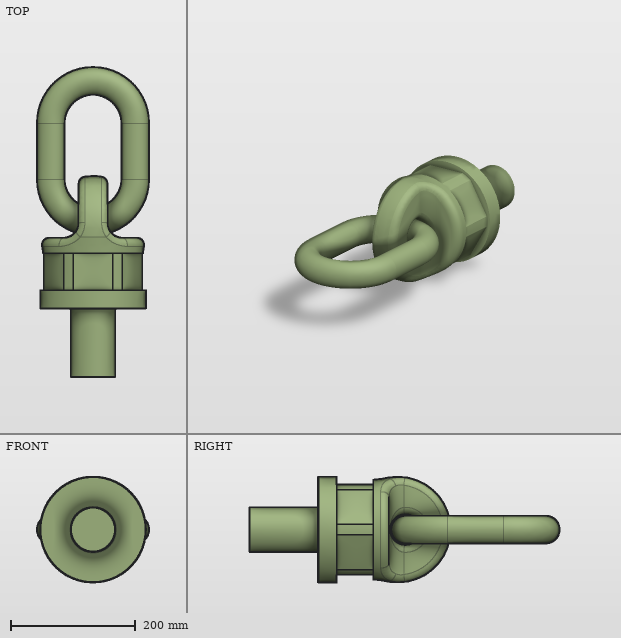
import cadquery as cq
import math


OVERALL_LENGTH = 497.5
SHANK_LENGTH = 110.0
SHANK_DIAMETER = 72.0
SHANK_END_CHAMFER = 1.0
SHANK_ROOT_RADIUS = 1.0
FLANGE_DIAMETER = 170.0
FLANGE_THICKNESS = 30.0
FLANGE_CHAMFER = 1.0
HEX_HEIGHT = 58.5
HEX_ACROSS_FLATS = 145.5
HEX_CORNER_DIAMETER = 159.0
HEX_TOP_Y = FLANGE_THICKNESS + HEX_HEIGHT

LINK_WIDTH = 180.0
LINK_BAR_DIAMETER = 45.0
LINK_STRAIGHT = 90.0
LINK_BAR_RADIUS = LINK_BAR_DIAMETER / 2
LINK_BEND_RADIUS = LINK_WIDTH / 2 - LINK_BAR_RADIUS
LINK_TOP_Y = OVERALL_LENGTH - SHANK_LENGTH
LINK_UPPER_BEND_Y = LINK_TOP_Y - LINK_WIDTH / 2
LINK_LOWER_BEND_Y = LINK_UPPER_BEND_Y - LINK_STRAIGHT

DOME_RADIUS = FLANGE_DIAMETER / 2
DOME_TOP_Y = 213.0
DOME_CENTRE_Y = DOME_TOP_Y - DOME_RADIUS
HEAD_BASE_RADIUS = 80.0
PLATE_TOP_Y = 114.0
EYE_THICKNESS = 47.0
EYE_ROOT_RADIUS = EYE_THICKNESS / 2
EYE_HOLE_DIAMETER = 49.0
EYE_HOLE_RADIUS = EYE_HOLE_DIAMETER / 2
EYE_HOLE_Y = 140.5
HEAD_EDGE_RADIUS = 12.0
EYE_MOUTH_DIAMETER = 72.0
EYE_RIM_RADIUS = (EYE_MOUTH_DIAMETER - EYE_HOLE_DIAMETER) / 2

TOLERANCE = 0.05


def bar_below(y):
    """Workplane at height y on which a positive extrusion runs towards -Y."""
    return cq.Workplane("XZ", origin=(0, y, 0))


def make_stud():
    shank = bar_below(0).circle(SHANK_DIAMETER / 2).extrude(SHANK_LENGTH)
    shank = shank.faces("<Y").chamfer(SHANK_END_CHAMFER)

    flange = bar_below(FLANGE_THICKNESS).circle(FLANGE_DIAMETER / 2).extrude(FLANGE_THICKNESS)
    flange = flange.faces("<Y").chamfer(FLANGE_CHAMFER)

    turned = flange.union(shank)
    root_box = cq.selectors.BoxSelector(
        (-SHANK_DIAMETER, -TOLERANCE, -SHANK_DIAMETER),
        (SHANK_DIAMETER, TOLERANCE, SHANK_DIAMETER),
    )
    shank_root = cq.selectors.RadiusNthSelector(0)
    turned = turned.edges(root_box).edges(shank_root).fillet(SHANK_ROOT_RADIUS)

    hex_across_corners = HEX_ACROSS_FLATS / math.cos(math.pi / 6)
    corner_cylinder = bar_below(HEX_TOP_Y).circle(HEX_CORNER_DIAMETER / 2).extrude(HEX_HEIGHT)
    hexagon = bar_below(HEX_TOP_Y).polygon(6, hex_across_corners).extrude(HEX_HEIGHT)
    return turned.union(hexagon.intersect(corner_cylinder))


def make_link():
    top_of_bend = (0, LINK_UPPER_BEND_Y + LINK_BEND_RADIUS)
    bottom_of_bend = (0, LINK_LOWER_BEND_Y - LINK_BEND_RADIUS)
    centreline = (
        cq.Workplane("XY")
        .moveTo(LINK_BEND_RADIUS, LINK_LOWER_BEND_Y)
        .lineTo(LINK_BEND_RADIUS, LINK_UPPER_BEND_Y)
        .threePointArc(top_of_bend, (-LINK_BEND_RADIUS, LINK_UPPER_BEND_Y))
        .lineTo(-LINK_BEND_RADIUS, LINK_LOWER_BEND_Y)
        .threePointArc(bottom_of_bend, (LINK_BEND_RADIUS, LINK_LOWER_BEND_Y))
        .close()
    )
    section = cq.Workplane("XZ", origin=(LINK_BEND_RADIUS, LINK_LOWER_BEND_Y, 0)).circle(LINK_BAR_RADIUS)
    return section.sweep(centreline)


def make_dome():
    """Ball-topped blank whose tapered side runs from the base edge tangent to the ball."""
    centre_height = DOME_CENTRE_Y - HEX_TOP_Y
    centre_to_base_edge = math.hypot(HEAD_BASE_RADIUS, centre_height)
    taper = math.atan2(centre_height, HEAD_BASE_RADIUS) - math.acos(DOME_RADIUS / centre_to_base_edge)

    def on_dome(angle):
        return (DOME_RADIUS * math.cos(angle), DOME_CENTRE_Y + DOME_RADIUS * math.sin(angle))

    return (
        cq.Workplane("XY")
        .moveTo(0, HEX_TOP_Y)
        .lineTo(HEAD_BASE_RADIUS, HEX_TOP_Y)
        .lineTo(*on_dome(-taper))
        .threePointArc(on_dome(math.pi / 4), (0, DOME_TOP_Y))
        .close()
        .revolve(360, (0, 0, 0), (0, 1, 0))
    )


def make_eye_side_cut():
    """Space beside the eye on +X, with a round root where the eye meets the plate."""
    outside = 2 * DOME_RADIUS
    eye_x = EYE_THICKNESS / 2
    return (
        cq.Workplane("XY")
        .moveTo(eye_x, LINK_TOP_Y)
        .lineTo(eye_x, PLATE_TOP_Y + EYE_ROOT_RADIUS)
        .radiusArc((eye_x + EYE_ROOT_RADIUS, PLATE_TOP_Y), -EYE_ROOT_RADIUS)
        .lineTo(outside, PLATE_TOP_Y)
        .lineTo(outside, LINK_TOP_Y)
        .close()
        .extrude(outside, both=True)
    )


def is_outer_edge(edge):
    """Curved edge between the outside of the head and a side of the eye or the plate top."""
    centre = edge.Center()
    beside_middle = abs(centre.x) > TOLERANCE
    above_plate = centre.y > PLATE_TOP_Y - TOLERANCE
    return beside_middle and above_plate and edge.geomType() != "LINE"


def is_hole_rim(edge):
    """Curved edge that lies on the wall of the eye hole."""
    middle = edge.positionAt(0.5)
    distance = math.hypot(middle.y - EYE_HOLE_Y, middle.z)
    return abs(distance - EYE_HOLE_RADIUS) < TOLERANCE and edge.geomType() != "LINE"


def make_swivel_head():
    side_cut = make_eye_side_cut()
    head = make_dome().cut(side_cut).cut(side_cut.mirror("YZ"))
    outer_edges = [edge for edge in head.edges().vals() if is_outer_edge(edge)]
    head = head.newObject(outer_edges).fillet(HEAD_EDGE_RADIUS)

    hole = (
        cq.Workplane("YZ")
        .center(EYE_HOLE_Y, 0)
        .circle(EYE_HOLE_RADIUS)
        .extrude(DOME_RADIUS, both=True)
    )
    head = head.cut(hole)
    rims = [edge for edge in head.edges().vals() if is_hole_rim(edge)]
    return head.newObject(rims).fillet(EYE_RIM_RADIUS)


stud = make_stud()
link = make_link()
swivel_head = make_swivel_head()
result = cq.Compound.makeCompound([body.solids().val() for body in (stud, link, swivel_head)])